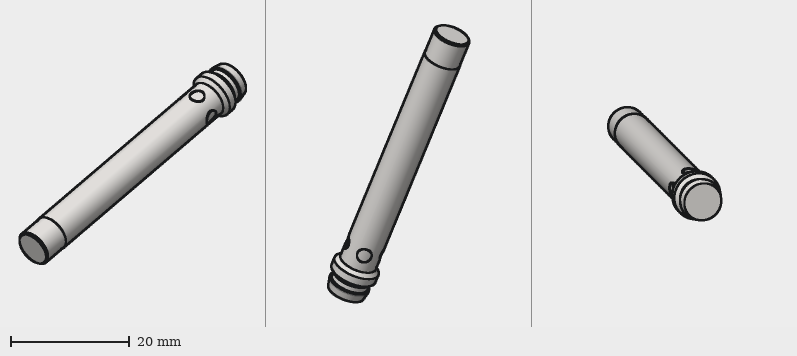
import cadquery as cq

length = 52.0
back_y = length / 2
front_y = -back_y
body_radius = 3.2

cap_length = 4.9
cap_radius = 3.15
cap_chamfer = 0.25

collar_radius = 4.0
collar_back_y = back_y - 2.9
collar_width = 3.05
collar_flank = collar_radius - body_radius
collar_front_y = collar_back_y - collar_width

lip_radius = 3.55
lip_back_y = back_y - 1.45
lip_width = 0.3
lip_step = 0.1
lip_front_y = lip_back_y - lip_width

window_diameter = 2.5
window_y = back_y - 9.0
window_floor_radius = 3.05
window_count = 4


def turned_body():
    """Solid of revolution about the Y axis."""
    cap_back_y = front_y + cap_length
    profile = [
        (0, front_y),
        (cap_radius - cap_chamfer, front_y),
        (cap_radius, front_y + cap_chamfer),
        (cap_radius, cap_back_y),
        (body_radius, cap_back_y),
        (body_radius, collar_front_y),
        (collar_radius, collar_front_y + collar_flank),
        (collar_radius, collar_back_y - collar_flank),
        (body_radius, collar_back_y),
        (body_radius, lip_front_y - lip_step),
        (lip_radius, lip_front_y),
        (lip_radius, lip_back_y),
        (body_radius, back_y),
        (0, back_y),
    ]
    return cq.Workplane("XY").polyline(profile).close().revolve(360, (0, 0, 0), (0, 1, 0))


def window_cutters():
    """Radial plugs whose inner ends follow a cylinder just below the body surface."""
    plug = (
        cq.Workplane("XY")
        .center(0, window_y)
        .circle(window_diameter / 2)
        .extrude(collar_radius)
    )
    cutters = cq.Workplane("XY")
    for index in range(window_count):
        angle = index * 360 / window_count
        cutters = cutters.add(plug.rotate((0, 0, 0), (0, 1, 0), angle))
    core = (
        cq.Workplane("XZ", origin=(0, window_y, 0))
        .circle(window_floor_radius)
        .extrude(window_diameter, both=True)
    )
    return cutters.combine().cut(core)


result = turned_body().cut(window_cutters())